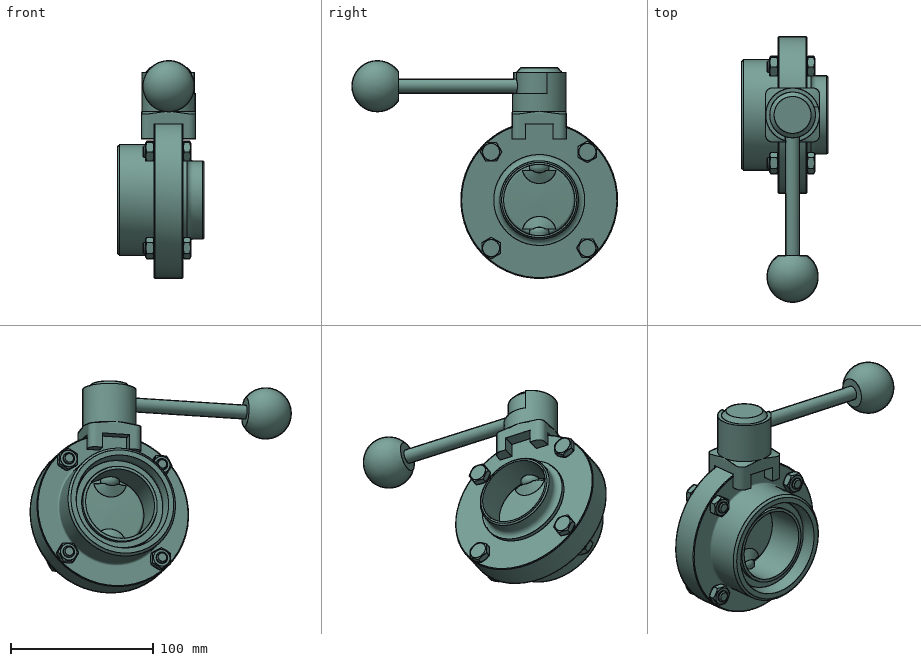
import cadquery as cq
import math


flange_diameter = 110.0
flange_width = 20.1
flange_top = 53.2
flange_edge_chamfer = 0.5

hub_diameter = 78.0
hub_end_x = -36.0
hub_chamfer = 1.7
hub_root_fillet = 1.3
socket_mouth_diameter = 67.1
socket_diameter = 63.8
socket_taper_depth = 6.0
socket_depth = 9.7

spigot_diameter = 55.0
spigot_end_x = 25.0
spigot_chamfer = 1.1
collar_diameter = 63.8
collar_end_x = 12.9
collar_fillet = (collar_diameter - spigot_diameter) / 2

bore_diameter = 50.0
lip_diameter = 54.0
lip_height = 3.2

bolt_offset = 33.8
bolt_diameter = 8.0
bolt_tip_x = -18.0
bolt_tip_chamfer = 1.0
nut_across_flats = 13.0
nut_face_diameter = 12.0
nut_thickness = 6.2
head_thickness = 5.6
corner_chamfer_height = 1.0

disc_thickness = 3.5
disc_rim_rounding = 1.7
disc_center_thickness = 4.7
disc_center_diameter = 4.1
stem_diameter = 14.2
stem_end_z = 18.3
stem_end_fillet = 4.5
stem_pocket_z = 33.5
flare_center_z = 22.8
flare_outer_z = 20.5
flare_diameter = 23.9
flare_front_diameter = 7.5
flare_front_x = 5.2

bracket_side = 38.0
bracket_corner_radius = 5.0
bracket_bottom = 42.9
bracket_shoulder = 60.5
tower_bottom = 62.1
tower_top = 89.5
tower_diameter = 37.7
tower_bore_diameter = 32.0
shoulder_blend_angle = 5
window_width = 19.5
lever_slot_floor = 74.6
lever_slot_half_width = 5.5

cap_top = 92.9
cap_top_diameter = 26.0
rod_diameter = 9.9
rod_z = 79.8
ball_diameter = 36.0
ball_y = -113.5
ball_flat_y = -98.7


def cylinder_x(diameter, x_start, x_end):
    """Cylinder along the pipe axis."""
    return cq.Workplane("YZ", origin=(x_start, 0, 0)).circle(diameter / 2).extrude(x_end - x_start)


def cylinder_z(diameter, z_start, z_end):
    """Cylinder along the stem axis."""
    return cq.Workplane("XY", origin=(0, 0, z_start)).circle(diameter / 2).extrude(z_end - z_start)


def polar(radius, degrees):
    """Point at a radius and an angle from the first axis."""
    return radius * math.cos(math.radians(degrees)), radius * math.sin(math.radians(degrees))


def turned(x, y, degrees):
    """Point turned about the origin."""
    return polar(math.hypot(x, y), math.degrees(math.atan2(y, x)) + degrees)


def cone_x(start_diameter, end_diameter, x_start, length):
    """Cone frustum that runs from x_start toward +X."""
    solid = cq.Solid.makeCone(
        start_diameter / 2, end_diameter / 2, length, pnt=cq.Vector(x_start, 0, 0), dir=cq.Vector(1, 0, 0)
    )
    return cq.Workplane(solid)


def make_flange():
    flange = cylinder_x(flange_diameter, -flange_width / 2, flange_width / 2)
    flange = flange.edges().chamfer(flange_edge_chamfer)
    flat = cq.Workplane("XY", origin=(0, 0, flange_top)).rect(flange_diameter, flange_diameter)
    return flange.cut(flat.extrude(flange_diameter))


def make_hub():
    """Left hub: a chamfered cylinder with a rounded root at the flange."""
    radius = hub_diameter / 2
    root_x = -flange_width / 2
    fillet_start = (root_x - hub_root_fillet, radius)
    fillet_end = (root_x, radius + hub_root_fillet)
    bulge = hub_root_fillet * (1 - math.sqrt(0.5))
    fillet_middle = (root_x - bulge, radius + bulge)
    profile = (
        cq.Workplane("XY")
        .moveTo(hub_end_x, 0)
        .lineTo(hub_end_x, radius - hub_chamfer)
        .lineTo(hub_end_x + hub_chamfer, radius)
        .lineTo(*fillet_start)
        .threePointArc(fillet_middle, fillet_end)
        .lineTo(0, radius + hub_root_fillet)
        .lineTo(0, 0)
        .close()
    )
    return profile.revolve(360, (0, 0, 0), (1, 0, 0))


def make_spigot():
    """Right spigot: a collar that sweeps down to a chamfered pipe end."""
    radius = spigot_diameter / 2
    collar_radius = collar_diameter / 2
    bulge = collar_fillet * (1 - math.sqrt(0.5))
    profile = (
        cq.Workplane("XY")
        .lineTo(0, collar_radius)
        .lineTo(collar_end_x, collar_radius)
        .threePointArc((collar_end_x + bulge, radius + bulge), (collar_end_x + collar_fillet, radius))
        .lineTo(spigot_end_x - spigot_chamfer, radius)
        .lineTo(spigot_end_x, radius - spigot_chamfer)
        .lineTo(spigot_end_x, 0)
        .close()
    )
    return profile.revolve(360, (0, 0, 0), (1, 0, 0))


def make_hexagon(x_start, thickness):
    """Hexagon at the +Y, +Z corner, with the corners bevelled at both ends."""
    corner_radius = nut_across_flats / math.cos(math.pi / 6) / 2
    face_radius = nut_face_diameter / 2
    plane = cq.Plane(origin=(x_start, bolt_offset, bolt_offset), xDir=(0, 0, 1), normal=(1, 0, 0))
    hexagon = cq.Workplane(plane).polygon(6, 2 * corner_radius).extrude(thickness)
    envelope = (
        cq.Workplane("XY")
        .polyline([
            (0, 0),
            (0, face_radius),
            (corner_chamfer_height, corner_radius),
            (thickness - corner_chamfer_height, corner_radius),
            (thickness, face_radius),
            (thickness, 0),
        ])
        .close()
        .revolve(360, (0, 0, 0), (1, 0, 0))
        .translate((x_start, bolt_offset, bolt_offset))
    )
    return hexagon.intersect(envelope)


def make_bolt():
    """Nut, bolt tip and bolt head at the +Y, +Z corner."""
    half_width = flange_width / 2
    nut = make_hexagon(-half_width - nut_thickness, nut_thickness)
    head = make_hexagon(half_width, head_thickness)
    shank = (
        cq.Workplane("YZ", origin=(bolt_tip_x, bolt_offset, bolt_offset))
        .circle(bolt_diameter / 2)
        .extrude(half_width - bolt_tip_x)
        .faces("<X")
        .chamfer(bolt_tip_chamfer)
    )
    return shank.union(nut).union(head)


def make_housing():
    housing = make_flange().union(make_hub()).union(make_spigot())
    for quarter in range(4):
        housing = housing.union(make_bolt().rotate((0, 0, 0), (1, 0, 0), 90 * quarter))
    floor_x = hub_end_x + socket_depth
    lip = cylinder_x(lip_diameter, floor_x - lip_height, floor_x)
    taper = cone_x(socket_mouth_diameter, socket_diameter, hub_end_x, socket_taper_depth)
    housing = housing.cut(taper)
    housing = housing.cut(cylinder_x(socket_diameter, hub_end_x, floor_x).cut(lip))
    housing = housing.cut(cylinder_x(bore_diameter, hub_end_x, spigot_end_x))
    return housing.cut(cylinder_z(stem_diameter, -stem_pocket_z, flange_top))


def make_disc_plate():
    """Round plate with slightly conical faces and a rounded rim."""
    rim_radius = bore_diameter / 2
    face_x = disc_thickness / 2
    face_radius = rim_radius - disc_rim_rounding
    rim_x = face_x - disc_rim_rounding
    middle_x = rim_x + disc_rim_rounding * math.sqrt(0.5)
    middle_radius = face_radius + disc_rim_rounding * math.sqrt(0.5)
    center_x = disc_center_thickness / 2
    center_radius = disc_center_diameter / 2
    return (
        cq.Workplane("XY")
        .moveTo(center_x, 0)
        .lineTo(center_x, center_radius)
        .lineTo(face_x, face_radius)
        .threePointArc((middle_x, middle_radius), (rim_x, rim_radius))
        .lineTo(-rim_x, rim_radius)
        .threePointArc((-middle_x, middle_radius), (-face_x, face_radius))
        .lineTo(-center_x, center_radius)
        .lineTo(-center_x, 0)
        .close()
        .revolve(360, (0, 0, 0), (1, 0, 0))
    )


def make_flare():
    """Tapered flare on the -X face that spreads from the upper stem onto the disc."""
    face_x = disc_thickness / 2
    flare = cone_x(flare_front_diameter, flare_diameter, -flare_front_x, flare_front_x - face_x)
    flare = flare.union(cylinder_x(flare_diameter, -face_x, 0)).translate((0, 0, flare_center_z))
    keep = cq.Workplane("XY").rect(flare_diameter, flare_diameter).extrude(flare_outer_z)
    return flare.intersect(keep)


def make_disc():
    """Disc plate with its upper and lower stems, each with a flare on both faces."""
    disc = make_disc_plate()
    for flare in (make_flare(), make_flare().mirror("YZ")):
        disc = disc.union(flare).union(flare.mirror("XY"))
    upper_stem = cylinder_z(stem_diameter, stem_end_z, lever_slot_floor)
    lower_stem = cylinder_z(stem_diameter, -stem_pocket_z, -stem_end_z)
    disc = disc.union(upper_stem.faces("<Z").edges().fillet(stem_end_fillet))
    return disc.union(lower_stem.faces(">Z").edges().fillet(stem_end_fillet))


def make_shoulder():
    """Ruled transition from the rounded square of the legs up to the round tower."""
    half = bracket_side / 2
    straight = half - bracket_corner_radius
    corner = straight + bracket_corner_radius * math.sqrt(0.5)
    radius = tower_diameter / 2
    blend = shoulder_blend_angle
    square = cq.Workplane("XY", origin=(0, 0, bracket_shoulder)).moveTo(half, -straight)
    circle = cq.Workplane("XY", origin=(0, 0, tower_bottom)).moveTo(*polar(radius, -blend))
    for turn in (0, 90, 180, 270):
        square = square.lineTo(*turned(half, straight, turn))
        square = square.threePointArc(turned(corner, corner, turn), turned(straight, half, turn))
        circle = circle.threePointArc(polar(radius, turn), polar(radius, turn + blend))
        circle = circle.threePointArc(polar(radius, turn + 45), polar(radius, turn + 90 - blend))
    return cq.Workplane(cq.Solid.makeLoft([square.wire().val(), circle.wire().val()], True))


def make_lever_slot():
    """Quarter-turn opening in the tower wall, from the -Y side round to the +X side."""
    reach = tower_diameter
    width = lever_slot_half_width
    outline = [(-width, width), (reach, width), (reach, -reach), (-width, -reach)]
    return (
        cq.Workplane("XY", origin=(0, 0, lever_slot_floor)).polyline(outline).close()
        .extrude(tower_top - lever_slot_floor)
    )


def make_bracket():
    """Four legs astride the flange, below a round tower."""
    bracket = (
        cq.Workplane("XY", origin=(0, 0, bracket_bottom))
        .rect(bracket_side, bracket_side)
        .extrude(bracket_shoulder - bracket_bottom)
        .edges("|Z")
        .fillet(bracket_corner_radius)
    )
    bracket = bracket.union(make_shoulder()).union(cylinder_z(tower_diameter, tower_bottom, tower_top))
    gaps = cq.Workplane("XY", origin=(0, 0, bracket_bottom))
    gap_height = flange_top - bracket_bottom
    bracket = bracket.cut(gaps.rect(flange_width, bracket_side).extrude(gap_height))
    bracket = bracket.cut(gaps.rect(bracket_side, window_width).extrude(gap_height))
    bracket = bracket.cut(cylinder_z(stem_diameter, flange_top, lever_slot_floor))
    bracket = bracket.cut(cylinder_z(tower_bore_diameter, lever_slot_floor, tower_top))
    return bracket.cut(make_lever_slot())


def make_handle():
    """Cap in the tower, with a rod and a ball grip."""
    cap = cylinder_z(tower_bore_diameter, lever_slot_floor, tower_top)
    taper = cq.Solid.makeCone(
        tower_bore_diameter / 2, cap_top_diameter / 2, cap_top - tower_top, pnt=cq.Vector(0, 0, tower_top)
    )
    rod = cq.Workplane("XZ", origin=(0, 0, rod_z)).circle(rod_diameter / 2).extrude(-ball_y)
    ball = cq.Workplane("XY", origin=(0, ball_y, rod_z)).sphere(ball_diameter / 2)
    behind_flat = cq.Workplane("XZ", origin=(0, ball_flat_y, rod_z)).rect(ball_diameter, ball_diameter)
    ball = ball.cut(behind_flat.extrude(-ball_diameter))
    return cap.union(cq.Workplane(taper)).union(rod).union(ball)


housing = make_housing()
disc = make_disc()
bracket = make_bracket()
handle = make_handle()
result = cq.Compound.makeCompound([housing.val(), disc.val(), bracket.val(), handle.val()])